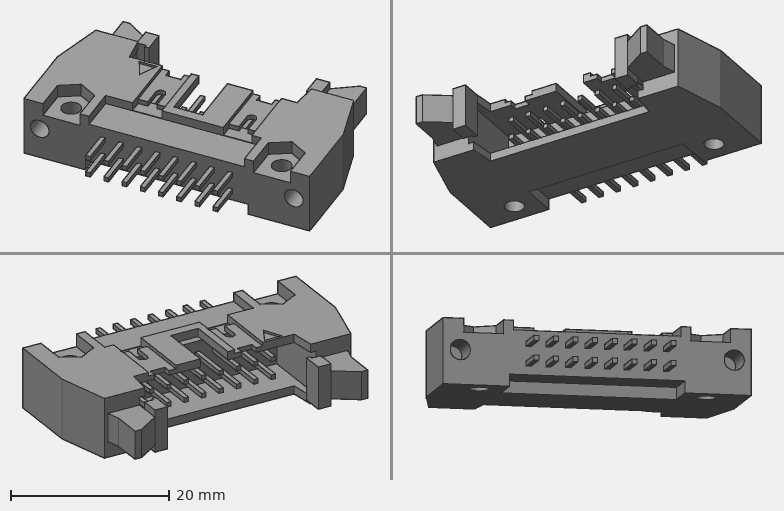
import cadquery as cq
import math


PITCH = 2.54
COLUMNS = 8
PIN_SIZE = 0.64
PIN_TAIL_Y = -4.5
PIN_TIP_Y = 13.45
FIRST_PIN_X = -PITCH * (COLUMNS - 1) / 2

BODY_LENGTH = 39.9
BODY_HEIGHT = 8.5
BODY_TOP = BODY_HEIGHT / 2
HALF_LENGTH = BODY_LENGTH / 2
SHOULDER_Y = 10.0
TOWER_Y = 17.3
TOWER_OUTER_X = 18.0
TOWER_INNER_X = 12.1
MOUTH_HALF = 11.7
MOUTH_Y = 13.85

WALL = 1.17
CAVITY_TOP = BODY_TOP - WALL
CAVITY_FLOOR_Y = 7.43

LEDGE_Y = 4.98
TOP_LEDGE_HALF = 10.85
TOP_LEDGE_DEPTH = 1.25
BOTTOM_LEDGE_HALF = 11.35
BOTTOM_LEDGE_DEPTH = 1.55

KEY_WIDTH = 4.0
KEY_START_Y = 6.38

WINDOWS = (
    (-7.1, -3.02, -2 * PITCH),
    (5.57, 9.55, 3 * PITCH),
)
WINDOW_DEPTH = 0.5
WINDOW_STEP_Y = 6.62
WINDOW_SLOT_WIDTH = 1.3
WINDOW_SLOT_END_Y = 9.65
NOTCH_WIDTH = 2.1
NOTCH_Y = 12.8

MARK_WIDTH = 2.5
MARK_BASE_Y = PIN_TIP_Y
MARK_TIP_Y = 10.95
MARK_DEPTH = 0.3

HOLE_DIAMETER = 2.6
MOUNT_X = 14.7
MOUNT_Y = 2.9
NUT_WIDTH = 5.16
NUT_DEPTH = 1.8
BORE_X = 17.74
BORE_Z = 0.2
BORE_DEPTH = 5.0

LATCH_THICKNESS = 4.0
LATCH_INNER_X = 12.86
LATCH_ROOT_X = 17.5
LATCH_OUTER_X = 17.0
LATCH_BEND_Y = 19.2
LATCH_TIP_X = 16.05
LATCH_TIP_Y = 23.3
HOOK_HEIGHT = 6.0
HOOK_END_X = 11.0
HOOK_TOP_Y = 21.17
HOOK_BOTTOM_Y = 18.57
HOOK_LIP_X = 11.6
HOOK_LIP_Y = 18.2


def block(x0, x1, y0, y1, z0, z1):
    """Box between opposite corners."""
    return cq.Workplane("XY").box(x1 - x0, y1 - y0, z1 - z0, centered=False).translate((x0, y0, z0))


def top_cut(x0, x1, y0, y1, depth):
    """Box sunk from the top face of the body."""
    return block(x0, x1, y0, y1, BODY_TOP - depth, BODY_TOP)


def plate(points, thickness):
    """Outline extruded evenly about the mid plane."""
    return cq.Workplane("XY").polyline(points).close().extrude(thickness / 2, both=True)


def with_mirror(shape):
    """The shape together with its copy at the other end of the part."""
    return shape.union(shape.mirror("YZ"))


def make_body():
    right_side = [
        (HALF_LENGTH, 0),
        (HALF_LENGTH, SHOULDER_Y),
        (TOWER_OUTER_X, TOWER_Y),
        (TOWER_INNER_X, TOWER_Y),
        (MOUTH_HALF, MOUTH_Y),
    ]
    left_side = [(-x, y) for x, y in reversed(right_side)]
    return plate(right_side + left_side, BODY_HEIGHT)


def cavity():
    return block(-MOUTH_HALF, MOUTH_HALF, CAVITY_FLOOR_Y, MOUTH_Y, -CAVITY_TOP, CAVITY_TOP)


def ledges():
    top = top_cut(-TOP_LEDGE_HALF, TOP_LEDGE_HALF, 0, LEDGE_Y, TOP_LEDGE_DEPTH)
    bottom_z = -BODY_TOP + BOTTOM_LEDGE_DEPTH
    bottom = block(-BOTTOM_LEDGE_HALF, BOTTOM_LEDGE_HALF, 0, LEDGE_Y, -BODY_TOP, bottom_z)
    return top.union(bottom)


def key_slot():
    return top_cut(-KEY_WIDTH / 2, KEY_WIDTH / 2, KEY_START_Y, MOUTH_Y, WALL)


def window(left, right, centre):
    """Recess with a deeper foot, a round-ended slot and a notch at the mouth."""
    recess = top_cut(left, right, LEDGE_Y, MOUTH_Y, WINDOW_DEPTH)
    foot = top_cut(left, right, LEDGE_Y, WINDOW_STEP_Y, WALL)
    radius = WINDOW_SLOT_WIDTH / 2
    slot_centre_y = WINDOW_SLOT_END_Y - radius
    slot = top_cut(centre - radius, centre + radius, WINDOW_STEP_Y, slot_centre_y, WALL)
    slot_end = (
        cq.Workplane("XY", origin=(centre, slot_centre_y, CAVITY_TOP))
        .circle(radius)
        .extrude(WALL)
    )
    notch = top_cut(centre - NOTCH_WIDTH / 2, centre + NOTCH_WIDTH / 2, NOTCH_Y, MOUTH_Y, WALL)
    return recess.union(foot).union(slot).union(slot_end).union(notch)


def pin_one_mark():
    return (
        cq.Workplane("XY", origin=(FIRST_PIN_X, 0, BODY_TOP - MARK_DEPTH))
        .polyline([(-MARK_WIDTH / 2, MARK_BASE_Y), (MARK_WIDTH / 2, MARK_BASE_Y), (0, MARK_TIP_Y)])
        .close()
        .extrude(MARK_DEPTH)
    )


def mounting_cuts():
    """Through holes, nut pockets open to the pin side, and blind end bores."""
    hole = (
        cq.Workplane("XY")
        .center(MOUNT_X, MOUNT_Y)
        .circle(HOLE_DIAMETER / 2)
        .extrude(BODY_TOP, both=True)
    )
    half_width = NUT_WIDTH / 2
    corner_radius = half_width / math.cos(math.pi / 6)
    corner_y = MOUNT_Y + corner_radius / 2
    pocket = (
        cq.Workplane("XY", origin=(MOUNT_X, 0, BODY_TOP - NUT_DEPTH))
        .polyline([
            (-half_width, 0),
            (half_width, 0),
            (half_width, corner_y),
            (0, MOUNT_Y + corner_radius),
            (-half_width, corner_y),
        ])
        .close()
        .extrude(NUT_DEPTH)
    )
    bore = (
        cq.Workplane("XZ")
        .center(BORE_X, BORE_Z)
        .circle(HOLE_DIAMETER / 2)
        .extrude(-BORE_DEPTH)
    )
    return with_mirror(hole.union(pocket).union(bore))


def latch_slots():
    """Openings in the inner side of the towers, as tall as the cavity, in front of the latches."""
    return with_mirror(block(MOUTH_HALF, LATCH_INNER_X, CAVITY_FLOOR_Y, TOWER_Y, -CAVITY_TOP, CAVITY_TOP))


def latches():
    arm = plate([
        (LATCH_INNER_X, TOWER_Y),
        (LATCH_ROOT_X, TOWER_Y),
        (LATCH_OUTER_X, LATCH_BEND_Y),
        (LATCH_OUTER_X, LATCH_TIP_Y),
        (LATCH_TIP_X, LATCH_TIP_Y),
        (LATCH_INNER_X, HOOK_TOP_Y),
    ], LATCH_THICKNESS)
    hook = plate([
        (LATCH_INNER_X, HOOK_TOP_Y),
        (HOOK_END_X, HOOK_TOP_Y),
        (HOOK_END_X, HOOK_LIP_Y),
        (HOOK_LIP_X, HOOK_LIP_Y),
        (HOOK_LIP_X, HOOK_BOTTOM_Y),
        (LATCH_INNER_X, HOOK_BOTTOM_Y),
    ], HOOK_HEIGHT)
    return with_mirror(arm.union(hook))


def pins():
    return (
        cq.Workplane("XZ", origin=(0, PIN_TAIL_Y, 0))
        .rarray(PITCH, PITCH, COLUMNS, 2)
        .rect(PIN_SIZE, PIN_SIZE)
        .extrude(PIN_TAIL_Y - PIN_TIP_Y)
    )


body = make_body().cut(cavity()).cut(ledges()).cut(key_slot())
for left_edge, right_edge, slot_x in WINDOWS:
    body = body.cut(window(left_edge, right_edge, slot_x))
body = body.cut(pin_one_mark()).cut(mounting_cuts()).cut(latch_slots())

result = body.union(latches()).union(pins())